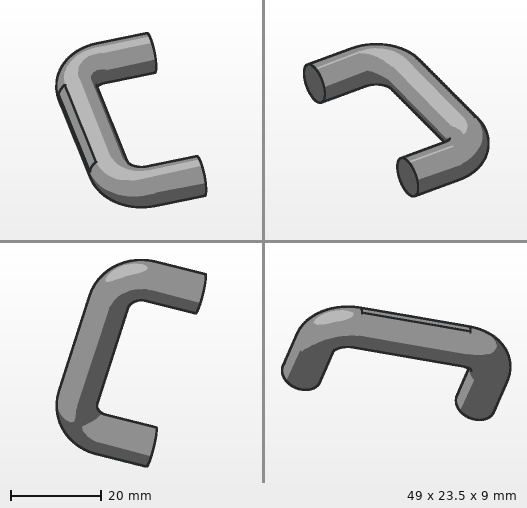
import cadquery as cq
import math

OVERALL_WIDTH = 49.0
OVERALL_DEPTH = 23.5
TUBE_DIAMETER = 9.0
BEND_RADIUS = 7.5

STRIP_TILT = 29.0
STRIP_WIDTH = 2.95
STRIP_DEPTH = 1.0

TUBE_RADIUS = TUBE_DIAMETER / 2
LEG_X = OVERALL_WIDTH / 2 - TUBE_RADIUS
LEG_END_Y = OVERALL_DEPTH / 2
BAR_Y = -OVERALL_DEPTH / 2 + TUBE_RADIUS
BEND_START_Y = BAR_Y + BEND_RADIUS
BAR_HALF_LENGTH = LEG_X - BEND_RADIUS
BAR_LENGTH = 2 * BAR_HALF_LENGTH


def make_rod():
    """Round rod bent into a U: two legs joined by the grip bar."""
    diagonal = BEND_RADIUS * math.sqrt(0.5)
    bend_mid_x = BAR_HALF_LENGTH + diagonal
    bend_mid_y = BEND_START_Y - diagonal
    path = (
        cq.Workplane("XY")
        .moveTo(-LEG_X, LEG_END_Y)
        .lineTo(-LEG_X, BEND_START_Y)
        .threePointArc((-bend_mid_x, bend_mid_y), (-BAR_HALF_LENGTH, BAR_Y))
        .lineTo(BAR_HALF_LENGTH, BAR_Y)
        .threePointArc((bend_mid_x, bend_mid_y), (LEG_X, BEND_START_Y))
        .lineTo(LEG_X, LEG_END_Y)
    )
    leg_end = cq.Workplane("XZ", origin=(-LEG_X, LEG_END_Y, 0))
    return leg_end.circle(TUBE_RADIUS).sweep(path)


def make_strip():
    """Inlay strip with a flat floor and a face flush with the round bar."""
    bar = (
        cq.Workplane("YZ", origin=(-BAR_HALF_LENGTH, BAR_Y, 0))
        .circle(TUBE_RADIUS)
        .extrude(BAR_LENGTH)
    )
    floor_height = TUBE_RADIUS - STRIP_DEPTH
    slot = (
        cq.Workplane("XY")
        .box(BAR_LENGTH, TUBE_RADIUS, STRIP_WIDTH)
        .translate((0, -floor_height - TUBE_RADIUS / 2, 0))
        .rotate((0, 0, 0), (1, 0, 0), -STRIP_TILT)
        .translate((0, BAR_Y, 0))
    )
    return bar.intersect(slot)


strip = make_strip()
handle = make_rod().cut(strip)

result = cq.Compound.makeCompound([handle.val(), strip.val()])